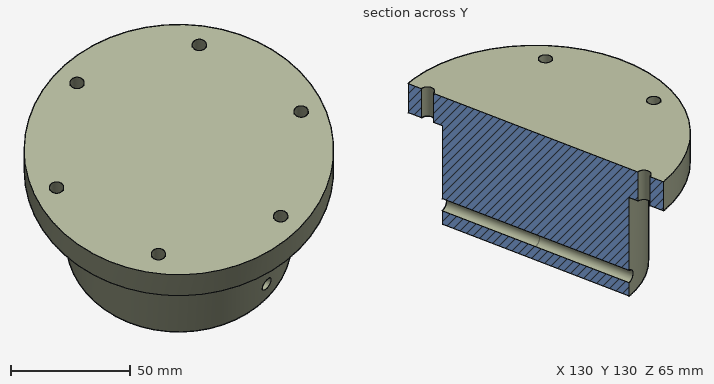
import cadquery as cq

flange_diameter = 130.0
flange_thickness = 15.0
total_height = 65.0
hub_diameter = 95.0

bolt_circle_diameter = 110.0
bolt_hole_diameter = 6.0
bolt_hole_count = 6

cross_hole_diameter = 6.0
cross_hole_height = 10.0

hub_height = total_height - flange_thickness

hub = cq.Workplane("XY").circle(hub_diameter / 2).extrude(hub_height)
flange = (
    cq.Workplane("XY")
    .workplane(offset=hub_height)
    .circle(flange_diameter / 2)
    .extrude(flange_thickness)
)

bolt_holes = (
    cq.Workplane("XY")
    .workplane(offset=hub_height)
    .polarArray(bolt_circle_diameter / 2, 0, 360, bolt_hole_count)
    .circle(bolt_hole_diameter / 2)
    .extrude(flange_thickness)
)

cross_hole = (
    cq.Workplane("YZ")
    .center(0, cross_hole_height)
    .circle(cross_hole_diameter / 2)
    .extrude(hub_diameter / 2, both=True)
)

result = hub.union(flange).cut(bolt_holes).cut(cross_hole)